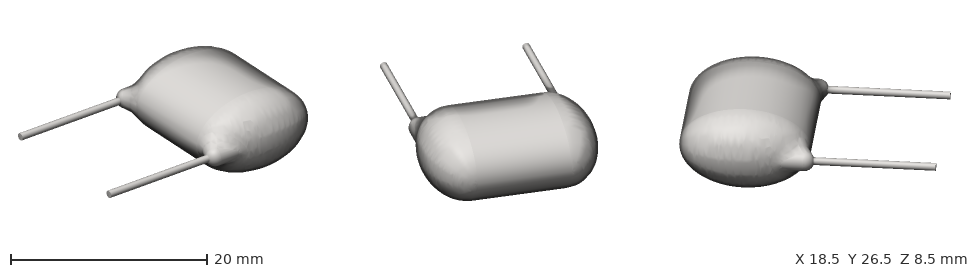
import cadquery as cq

total_length = 26.5
body_width = 13.5
body_thickness = 8.5
middle_length = 10.0

lead_pitch = 15.05
lead_diameter = 0.8
bead_pitch = 15.1
bead_radius = 1.05
bead_center_inset = 0.48
bead_fillet_radius = 3.18

half_width = body_width / 2
half_thickness = body_thickness / 2
bead_y = -half_width + bead_center_inset
lead_end_y = half_width - total_length
lead_length = bead_y - lead_end_y
sides = (-1, 1)


def make_middle():
    """Straight elliptical barrel along X."""
    section = cq.Workplane("YZ", origin=(-middle_length / 2, 0, 0))
    return section.ellipse(half_width, half_thickness).extrude(middle_length)


def make_end_cap(side):
    """Spheroid about Y whose outer half rounds off one end of the barrel."""
    half_ellipse = (
        cq.Workplane("XY")
        .moveTo(0, -half_width)
        .ellipseArc(half_thickness, half_width, -90, 90, startAtCurrent=True)
        .close()
    )
    spheroid = half_ellipse.revolve(360, (0, 0, 0), (0, 1, 0))
    return spheroid.translate((side * middle_length / 2, 0, 0))


def make_bead(side):
    """Round-tipped stub along -Y, starting inside the body."""
    bead_x = side * bead_pitch / 2
    stub = cq.Workplane("XZ", origin=(bead_x, 0, 0)).circle(bead_radius).extrude(-bead_y)
    tip = cq.Workplane("XY").sphere(bead_radius).translate((bead_x, bead_y, 0))
    return stub.union(tip)


def make_lead(side):
    """Straight wire from the bead's tip center to the free end."""
    start = (side * lead_pitch / 2, bead_y, 0)
    return cq.Workplane("XZ", origin=start).circle(lead_diameter / 2).extrude(lead_length)


def make_body(lead_solids):
    """Coated body with filleted beads and a blind hole for each lead."""
    body = make_middle()
    for side in sides:
        body = body.union(make_end_cap(side))
    for side in sides:
        body = body.union(make_bead(side))
    body = body.edges("%BSPLINE").fillet(bead_fillet_radius)
    for lead in lead_solids:
        body = body.cut(lead)
    return body


leads = [make_lead(side) for side in sides]
capacitor_body = make_body(leads)

result = cq.Compound.makeCompound([capacitor_body.val(), *[lead.val() for lead in leads]])